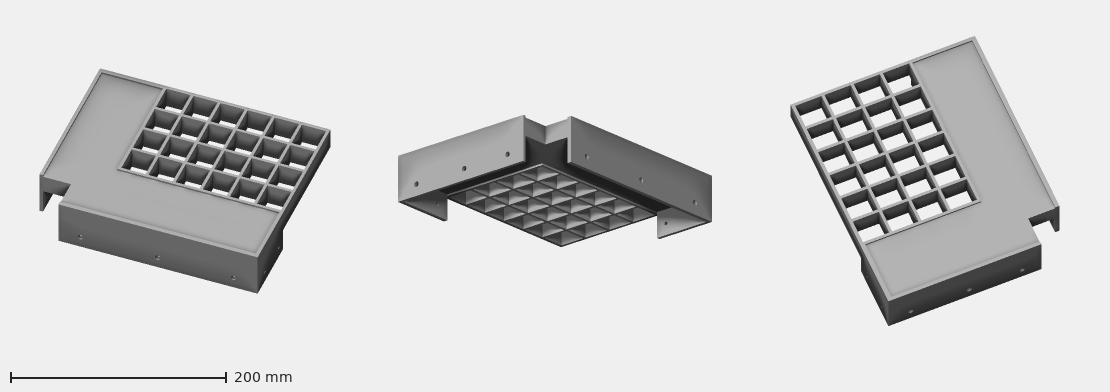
import cadquery as cq

LENGTH = 229.5
WIDTH = 186.3
HEIGHT = 46.0

WALL_X = 3.5
WALL_Y = 4.4

COLUMNS = 6
ROWS = 4
RIB = 3.0
GRID_DEPTH = 22.0
GRID_EDGE_X = 3.0
GRID_EDGE_Y = 3.5
CELLS_START_X = 67.5
CELLS_START_Y = 67.7
PITCH_X = (LENGTH - GRID_EDGE_X - CELLS_START_X + RIB) / COLUMNS
PITCH_Y = (WIDTH - GRID_EDGE_Y - CELLS_START_Y + RIB) / ROWS
CELL_X = PITCH_X - RIB
CELL_Y = PITCH_Y - RIB

DECK_RECESS = 1.8
DECK_BOTTOM = 26.0
DECK_END_X = CELLS_START_X - RIB
DECK_END_Y = CELLS_START_Y - RIB

NOTCH_X = 31.2
NOTCH_Y = 31.7

HOLE_HEIGHT = 11.7
SIDE_HOLE_DIAMETER = 5.3
END_HOLE_DIAMETER = 3.5
FRONT_HOLES_X = (53.0, 129.8, 205.3)
LEFT_HOLES_Y = (51.2, 104.5, 163.5)
END_HOLES_X = (15.8, 50.5)
END_HOLES_Y = (18.5, 54.0)


def box(x0, x1, y0, y1, z0, z1):
    """Box between two opposite corners."""
    return cq.Workplane("XY").box(x1 - x0, y1 - y0, z1 - z0, centered=False).translate((x0, y0, z0))


def l_prism(x0, x1, y0, y1, inner_x, inner_y, z0, z1):
    """L-shaped prism: a rectangle that lacks everything beyond the inner corner."""
    outline = [(x0, y0), (x1, y0), (x1, inner_y), (inner_x, inner_y), (inner_x, y1), (x0, y1)]
    return cq.Workplane("XY").workplane(offset=z0).polyline(outline).close().extrude(z1 - z0)


def hole_along_x(y, diameter, x0, x1):
    """Drill through a wall that spans x0 to x1."""
    drill = cq.Workplane("YZ").center(y, HOLE_HEIGHT).circle(diameter / 2)
    return drill.extrude(x1 - x0).translate((x0, 0, 0))


def hole_along_y(x, diameter, y0, y1):
    """Drill through a wall that spans y0 to y1."""
    drill = cq.Workplane("XZ").center(x, HOLE_HEIGHT).circle(diameter / 2)
    return drill.extrude(y0 - y1).translate((0, y0, 0))


def make_body():
    """Block with the recessed L deck, hollow below it and open below the grid."""
    body = box(0, LENGTH, 0, WIDTH, 0, HEIGHT)
    rim_inside = (WALL_X, LENGTH - WALL_X, WALL_Y, WIDTH - WALL_Y)
    recess = l_prism(*rim_inside, DECK_END_X, DECK_END_Y, HEIGHT - DECK_RECESS, HEIGHT)
    hollow = l_prism(*rim_inside, DECK_END_X, DECK_END_Y, 0, DECK_BOTTOM)
    below_grid = box(DECK_END_X, LENGTH, DECK_END_Y, WIDTH, 0, HEIGHT - GRID_DEPTH)
    notch = box(0, NOTCH_X, 0, NOTCH_Y, 0, HEIGHT)
    return body.cut(recess).cut(hollow).cut(below_grid).cut(notch)


def cut_cells(body):
    """Open every cell of the grid from top to bottom."""
    for column in range(COLUMNS):
        for row in range(ROWS):
            x = CELLS_START_X + column * PITCH_X
            y = CELLS_START_Y + row * PITCH_Y
            body = body.cut(box(x, x + CELL_X, y, y + CELL_Y, 0, HEIGHT))
    return body


def cut_wall_holes(body):
    """Drill the row of holes in each of the four skirt walls."""
    for x in FRONT_HOLES_X:
        body = body.cut(hole_along_y(x, SIDE_HOLE_DIAMETER, 0, WALL_Y))
    for y in LEFT_HOLES_Y:
        body = body.cut(hole_along_x(y, SIDE_HOLE_DIAMETER, 0, WALL_X))
    for x in END_HOLES_X:
        body = body.cut(hole_along_y(x, END_HOLE_DIAMETER, WIDTH - WALL_Y, WIDTH))
    for y in END_HOLES_Y:
        body = body.cut(hole_along_x(y, END_HOLE_DIAMETER, LENGTH - WALL_X, LENGTH))
    return body


result = cut_wall_holes(cut_cells(make_body()))